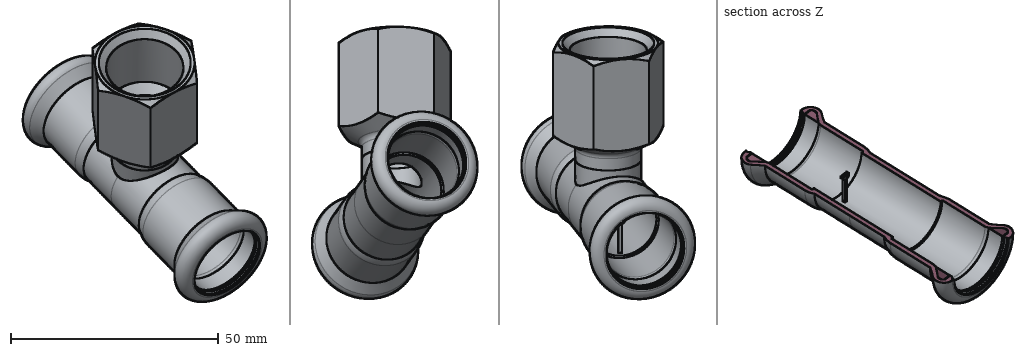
import cadquery as cq
import math


half_length = 34.0
run_radius = 20.0 / 2
run_bore_radius = 17.0 / 2

socket_outer_radius = 21.3 / 2
socket_bore_radius = 18.2 / 2
mouth_radius = 9.7
mouth_cone_start_x = 33.45
mouth_cone_end_x = 32.9
socket_cone_end_x = 26.85
socket_floor_x = 12.9
shoulder_start_x = 11.35
shoulder_end_x = 13.95

bead_radius = 2.8
bead_center_x = half_length - bead_radius
bead_center_radius = 10.35
bead_cone_start_x = 29.8
bead_cone_end_x = 26.9

seal_inner_radius = 18.8 / 2
seal_front_x = 32.2
seal_back_x = 27.75
bead_wall = 1.3

neck_radius = 16.0 / 2
branch_bore_radius = 13.0 / 2
neck_joint_z = 11.7

disc_radius = 1.15
stem_width = 0.8
disc_thickness = 0.8
disc_x = 10.2

adapter_top_z = 41.5
hex_across_corners = 27.75
hex_flat_radius = hex_across_corners / 2 * math.cos(math.radians(30))
hex_chamfer_angle = math.radians(30)
underside_z_at_flats = 18.0
neck_fillet_radius = 1.7
thread_radius = 18.6 / 2
thread_mouth_radius = 11.1
thread_floor_z = 24.5
thread_floor_angle = math.radians(30)


def run_outline():
    """Half of the revolved tee wall, from the middle out to the +X mouth."""
    shoulder_run = shoulder_end_x - shoulder_start_x
    shoulder_drop = socket_outer_radius - run_radius
    shoulder_arc_radius = (shoulder_run**2 + shoulder_drop**2) / (2 * shoulder_drop)
    shoulder_mid_x = shoulder_end_x - shoulder_run / 2
    shoulder_mid_radius = (socket_outer_radius - shoulder_arc_radius
                           + math.sqrt(shoulder_arc_radius**2 - (shoulder_run / 2)**2))
    cone_offset = bead_center_x - bead_cone_start_x
    bead_cone_radius = bead_center_radius + math.sqrt(bead_radius**2 - cone_offset**2)
    return (
        cq.Workplane("XZ")
        .moveTo(0, run_bore_radius)
        .lineTo(0, run_radius)
        .lineTo(shoulder_start_x, run_radius)
        .threePointArc((shoulder_mid_x, shoulder_mid_radius), (shoulder_end_x, socket_outer_radius))
        .lineTo(bead_cone_end_x, socket_outer_radius)
        .lineTo(bead_cone_start_x, bead_cone_radius)
        .threePointArc((bead_center_x, bead_center_radius + bead_radius), (half_length, bead_center_radius))
        .lineTo(half_length, mouth_radius)
        .lineTo(mouth_cone_start_x, mouth_radius)
        .lineTo(mouth_cone_end_x, seal_inner_radius)
        .lineTo(seal_back_x, seal_inner_radius)
        .lineTo(socket_cone_end_x, socket_bore_radius)
        .lineTo(socket_floor_x, socket_bore_radius)
        .lineTo(socket_floor_x, run_bore_radius)
        .close()
    )


def make_seal(side):
    """Seal ring with an outside that follows the bead wall; side is +1 or -1 along X."""
    arc_radius = bead_radius - bead_wall
    front_offset = seal_front_x - bead_center_x
    front_radius = bead_center_radius + math.sqrt(arc_radius**2 - front_offset**2)
    cone_angle = math.asin((bead_center_x - bead_cone_start_x) / bead_radius)
    cone_start_x = bead_center_x - arc_radius * math.sin(cone_angle)
    cone_start_radius = bead_center_radius + arc_radius * math.cos(cone_angle)
    return (
        cq.Workplane("XZ")
        .moveTo(side * seal_front_x, seal_inner_radius)
        .lineTo(side * seal_front_x, front_radius)
        .threePointArc((side * bead_center_x, bead_center_radius + arc_radius),
                       (side * cone_start_x, cone_start_radius))
        .lineTo(side * seal_back_x, seal_inner_radius)
        .close()
        .revolve(360, (0, 0), (1, 0))
    )


def make_disc_and_stem():
    """Small disc on the run axis with a stem reaching down into the run wall."""
    disc = cq.Workplane("YZ", origin=(disc_x, 0, 0)).circle(disc_radius).extrude(disc_thickness)
    stem_length = (run_bore_radius + run_radius) / 2
    stem = (
        cq.Workplane("YZ", origin=(disc_x, 0, -stem_length / 2))
        .rect(stem_width, stem_length)
        .extrude(disc_thickness)
    )
    return disc.union(stem)


def make_tee():
    half_run = run_outline().revolve(360, (0, 0), (1, 0))
    run = half_run.union(half_run.mirror("YZ"))
    run_bore = cq.Workplane("YZ").circle(run_bore_radius).extrude(half_length, both=True)
    neck = cq.Workplane("XY").circle(neck_radius).extrude(neck_joint_z).cut(run_bore)
    branch_bore = cq.Workplane("XY").circle(branch_bore_radius).extrude(neck_joint_z)
    tee = run.union(neck).cut(branch_bore).union(make_disc_and_stem())
    for side in (-1, 1):
        tee = tee.cut(make_seal(side))
    return tee.clean()


def adapter_envelope():
    """Revolved outside of the adapter: neck, fillet, underside cone and top chamfer."""
    slope = math.tan(hex_chamfer_angle)
    corner_radius = hex_across_corners / 2
    corner_rise = (corner_radius - hex_flat_radius) * slope
    cone_z_at_neck = underside_z_at_flats - (hex_flat_radius - neck_radius) * slope

    fillet_turn = math.pi / 2 - hex_chamfer_angle
    tangent_length = neck_fillet_radius * math.tan(fillet_turn / 2)
    fillet_start_z = cone_z_at_neck - tangent_length
    fillet_center_radius = neck_radius + neck_fillet_radius

    def fillet_point(angle):
        return (fillet_center_radius - neck_fillet_radius * math.cos(angle),
                fillet_start_z + neck_fillet_radius * math.sin(angle))

    return (
        cq.Workplane("XZ")
        .moveTo(0, neck_joint_z)
        .lineTo(neck_radius, neck_joint_z)
        .lineTo(neck_radius, fillet_start_z)
        .threePointArc(fillet_point(fillet_turn / 2), fillet_point(fillet_turn))
        .lineTo(corner_radius, underside_z_at_flats + corner_rise)
        .lineTo(corner_radius, adapter_top_z - corner_rise)
        .lineTo(hex_flat_radius, adapter_top_z)
        .lineTo(0, adapter_top_z)
        .close()
        .revolve(360, (0, 0), (0, 1))
    )


def adapter_bore():
    """Thread bore with a 45 degree lead-in and a conical floor down to the branch bore."""
    lead_in_depth = thread_mouth_radius - thread_radius
    floor_depth = (thread_radius - branch_bore_radius) * math.tan(thread_floor_angle)
    return (
        cq.Workplane("XZ")
        .moveTo(0, neck_joint_z)
        .lineTo(branch_bore_radius, neck_joint_z)
        .lineTo(branch_bore_radius, thread_floor_z - floor_depth)
        .lineTo(thread_radius, thread_floor_z)
        .lineTo(thread_radius, adapter_top_z - lead_in_depth)
        .lineTo(thread_mouth_radius, adapter_top_z)
        .lineTo(0, adapter_top_z)
        .close()
        .revolve(360, (0, 0), (0, 1))
    )


def make_adapter():
    hex_prism = (
        cq.Workplane("XY", origin=(0, 0, neck_joint_z))
        .polygon(6, hex_across_corners)
        .extrude(adapter_top_z - neck_joint_z)
        .rotate((0, 0, 0), (0, 0, 1), 30)
    )
    return adapter_envelope().intersect(hex_prism).cut(adapter_bore())


tee = make_tee()
adapter = make_adapter()
seals = [make_seal(side) for side in (-1, 1)]

result = cq.Compound.makeCompound([
    tee.solids().val(),
    adapter.solids().val(),
    *[seal.val() for seal in seals],
])